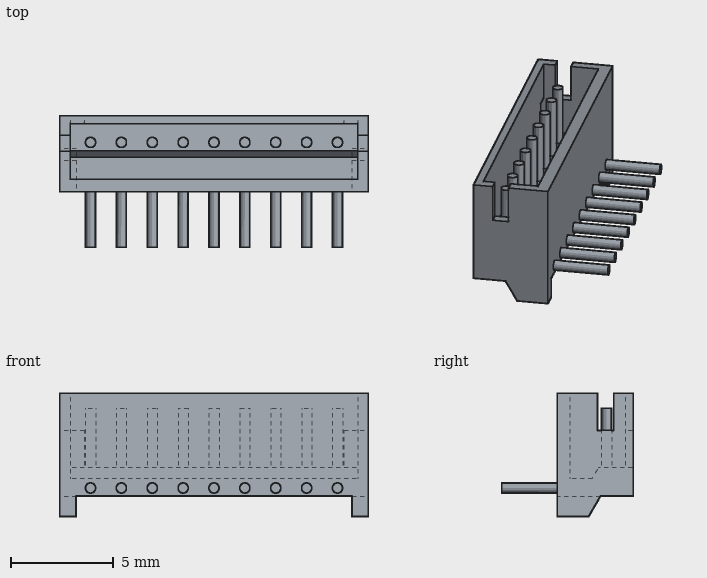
import cadquery as cq

length = 15.0
depth = 3.7
height = 6.0

underside_height = 1.0
foot_width = 0.8
foot_depth = 1.53
foot_slope_run = 0.58

end_wall = 0.51
front_wall = 0.6
rear_wall = 0.39
cavity_length = length - 2 * end_wall
floor_height = 2.4
step_start = 1.68
step_end = 2.0
step_drop = 0.54

notch_front = 1.96
notch_width = 0.78
notch_depth = 1.8

window_width = 0.69

pin_count = 9
pin_pitch = 1.5
pin_diameter = 0.5
pin_y = 2.4
pin_top = 5.28
tail_height = 1.4
tail_length = 2.7


def extrude_profile(points, width):
    """Extrude a YZ outline along X, centred on X = 0."""
    return cq.Workplane("YZ").polyline(points).close().extrude(width / 2, both=True)


def make_housing():
    """Block whose underside slopes up behind the feet."""
    block = extrude_profile(
        [
            (0, 0),
            (foot_depth, 0),
            (foot_depth + foot_slope_run, underside_height),
            (depth, underside_height),
            (depth, height),
            (0, height),
        ],
        length,
    )
    gap = cq.Workplane("XY").box(
        length - 2 * foot_width, depth, underside_height, centered=(True, False, False)
    )
    return block.cut(gap)


def make_cavity():
    """Cavity with a floor that slopes down to a lower level at the front."""
    return extrude_profile(
        [
            (front_wall, floor_height - step_drop),
            (step_start, floor_height - step_drop),
            (step_end, floor_height),
            (depth - rear_wall, floor_height),
            (depth - rear_wall, height),
            (front_wall, height),
        ],
        cavity_length,
    )


def make_notches():
    """One cutter that opens both end walls."""
    return (
        cq.Workplane("XY", origin=(0, notch_front, height - notch_depth))
        .box(length, notch_width, notch_depth, centered=(True, False, False))
    )


def make_windows():
    """Cutters for the two rear wall windows."""
    window_center = (cavity_length - window_width) / 2
    window_height = height - notch_depth - floor_height
    return (
        cq.Workplane("XY", origin=(0, depth - rear_wall, floor_height))
        .pushPoints([(-window_center, 0), (window_center, 0)])
        .box(window_width, rear_wall, window_height, centered=(True, False, False))
    )


def make_pin(x):
    """Vertical contact joined to a horizontal tail leaving the front face."""
    radius = pin_diameter / 2
    contact = (
        cq.Workplane("XY", origin=(x, pin_y, tail_height))
        .circle(radius)
        .extrude(pin_top - tail_height)
    )
    tail = (
        cq.Workplane("XZ", origin=(x, pin_y, tail_height))
        .circle(radius)
        .extrude(pin_y + tail_length)
    )
    return contact.union(tail)


result = make_housing().cut(make_cavity()).cut(make_notches()).cut(make_windows())
for index in range(pin_count):
    pin_x = (index - (pin_count - 1) / 2) * pin_pitch
    result = result.union(make_pin(pin_x))